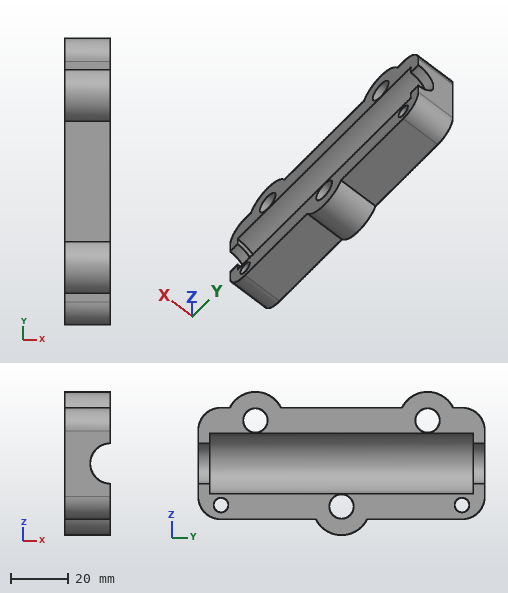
import cadquery as cq

thickness = 16.0
length = 100.0
height = 39.0
corner_radius = 8.0

lobe_radius = 10.0
bolt_diameter = 8.4
bolt_z = 15.0
bolt_points = [(-30.0, bolt_z), (30.0, bolt_z), (0.0, -bolt_z)]

pin_diameter = 5.0
pin_y = 42.0
pin_z = -14.5
pin_points = [(-pin_y, pin_z), (pin_y, pin_z)]

groove_radius = 7.0

pocket_radius = 10.5
end_land = 4.0


def rods(points, diameter):
    """Full-thickness cylinders along X at the given (y, z) points."""
    return (
        cq.Workplane("YZ", origin=(-thickness / 2, 0, 0))
        .pushPoints(points)
        .circle(diameter / 2)
        .extrude(thickness)
    )


def half_round(radius, span):
    """Cylinder along Y, centred on the +X face and mid-length."""
    return (
        cq.Workplane("XZ")
        .center(thickness / 2, 0)
        .circle(radius)
        .extrude(span / 2, both=True)
    )


plate = cq.Workplane("XY").box(thickness, length, height).edges("|X").fillet(corner_radius)
body = plate.union(rods(bolt_points, 2 * lobe_radius))

body = body.cut(rods(bolt_points, bolt_diameter))
body = body.cut(rods(pin_points, pin_diameter))

body = body.cut(half_round(groove_radius, length))
result = body.cut(half_round(pocket_radius, length - 2 * end_land))